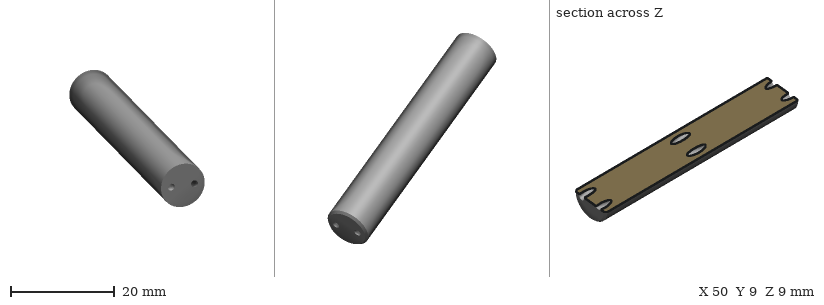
import cadquery as cq
import math

ROD_DIAMETER = 9.0
ROD_LENGTH = 50.0
CHAMFER = 0.45

CHANNEL_DIAMETER = 1.4
CHANNEL_CIRCLE_DIAMETER = 4.8
CHANNEL_COUNT = 2
HELIX_ANGLE = 30.0

HELIX_PITCH = math.pi * ROD_DIAMETER / math.tan(math.radians(HELIX_ANGLE))
TOTAL_TWIST = 360.0 * ROD_LENGTH / HELIX_PITCH
START_ANGLE = -TOTAL_TWIST


def make_rod():
    """Plain cylinder from X = 0, chamfered on the -X end only."""
    rod = cq.Workplane("YZ").circle(ROD_DIAMETER / 2).extrude(ROD_LENGTH)
    return rod.faces("<X").edges().chamfer(CHAMFER)


def make_channel(angle):
    """Helical channel whose centre starts at the given angle from +Y on the -X end."""
    radius = CHANNEL_CIRCLE_DIAMETER / 2
    centre_y = radius * math.cos(math.radians(angle))
    centre_z = radius * math.sin(math.radians(angle))
    section = cq.Workplane("YZ").pushPoints([(centre_y, centre_z)]).circle(CHANNEL_DIAMETER / 2)
    return section.twistExtrude(ROD_LENGTH, TOTAL_TWIST)


result = make_rod()
for index in range(CHANNEL_COUNT):
    result = result.cut(make_channel(START_ANGLE + index * 360.0 / CHANNEL_COUNT))